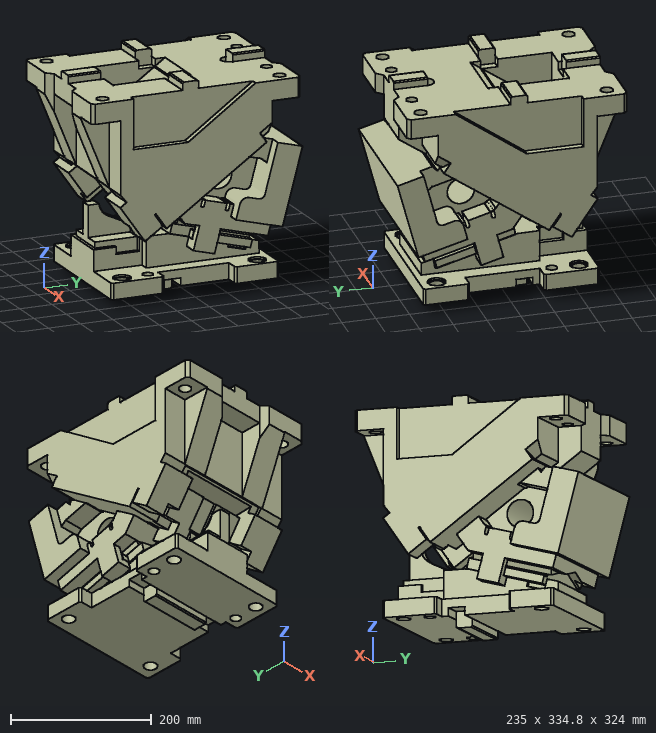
import cadquery as cq
import math


RAMP_ANGLE = 35.0
TRAVEL_ANGLE = 15.0
KEY_WIDTH = 25.0
KEY_HEIGHT = 24.0
KEY_CHAMFER = 2.0
SLOT_DEPTH = KEY_HEIGHT / 2

RAMP_Y = 115.8
RAMP_Z = 101.0
TRAVEL_Y = 303.76
TRAVEL_Z = 74.7


def ramp(along, above):
    """(y, z) of a point: distance up the ramp to the rear, and distance above the ramp."""
    angle = math.radians(RAMP_ANGLE)
    y = RAMP_Y + along * math.cos(angle) - above * math.sin(angle)
    z = RAMP_Z + along * math.sin(angle) + above * math.cos(angle)
    return (y, z)


def ramp_at(y, above):
    """(y, z) of the point at the given y on a line parallel to the ramp."""
    angle = math.radians(RAMP_ANGLE)
    along = (y - RAMP_Y + above * math.sin(angle)) / math.cos(angle)
    return ramp(along, above)


def travel(forward, up):
    """(y, z) of a point in the slide's tilted travel frame."""
    angle = math.radians(TRAVEL_ANGLE)
    y = TRAVEL_Y - forward * math.cos(angle) + up * math.sin(angle)
    z = TRAVEL_Z + forward * math.sin(angle) + up * math.cos(angle)
    return (y, z)


def prism(points, x_start, x_end):
    """Extrude a (y, z) outline from x_start to x_end."""
    return cq.Workplane("YZ", origin=(x_start, 0, 0)).polyline(points).close().extrude(x_end - x_start)


def wide(points, half_width):
    """Extrude a (y, z) outline symmetrically about the middle plane."""
    return prism(points, -half_width, half_width)


def both_sides(points, x_inner, x_outer):
    """Extrude a (y, z) outline on the left and on the right side."""
    return prism(points, x_inner, x_outer).union(prism(points, -x_outer, -x_inner))


def rectangle(frame, u_start, u_end, v_start, v_end):
    """Corners of a rectangle lying in a tilted frame."""
    return [frame(u_start, v_start), frame(u_end, v_start), frame(u_end, v_end), frame(u_start, v_end)]


def box(x_start, x_end, y_start, y_end, z_start, z_end):
    """Axis-aligned box between two corners."""
    size = (x_end - x_start, y_end - y_start, z_end - z_start)
    return cq.Workplane("XY").box(*size, centered=False).translate((x_start, y_start, z_start))


def inclined_section(points, frame, angle, start, length):
    """Extrude an (x, height) section toward the front, at an angle to the horizontal."""
    tilt = math.radians(angle)
    direction = (0, -math.cos(tilt), -math.sin(tilt))
    plane = cq.Plane(origin=(0, *frame(start, 0)), xDir=(1, 0, 0), normal=direction)
    return cq.Workplane(plane).polyline(points).close().extrude(length)


def ramp_section(points, start, end):
    """Extrude an (x, above) section along the ramp between two distances along it."""
    return inclined_section(points, ramp, RAMP_ANGLE, end, end - start)


def travel_section(points, start, end):
    """Extrude an (x, up) section along the travel direction between two forward distances."""
    return inclined_section(points, travel, -TRAVEL_ANGLE, start, end - start)


HOLDER_LENGTH = 325.0
HOLDER_HALF = 235.0 / 2
PLATE_TOP = 300.0
PLATE_BOTTOM = 270.0
PLATE_CHAMFER = 5.0
NOTCH_OUTER_HALF = 47.5
NOTCH_DEPTH = 10.0
NOTCH_INNER_HALF = NOTCH_OUTER_HALF - NOTCH_DEPTH

BODY_FRONT = 44.6
BODY_REAR = 280.0
FRONT_FOOT_Z = 159.0
RIM_ALONG = 190.0
RIM_LOW = 3.0
RIM_HIGH = 18.0
RIM_BEVEL = RIM_HIGH - RIM_LOW
RIM_END_ALONG = 250.0
RIB_DROP = -6.0

PRONG_FRONT = -36.0
PRONG_NECK = -24.0
PRONG_LOW = 7.0
PRONG_HIGH = 74.0
PRONG_NECK_TOP = 88.0
PRONG_INNER = 63.0
PRONG_RELIEF_HALF = 76.0
PRONG_RELIEF_DEPTH = 5.0
PRONG_NOTCH_HALF = 83.5
PRONG_NOTCH_TOP = 25.0
KERF_WIDTH = 2.0
KERF_TOP = 28.6

GUSSET_OUTER = 78.0
GUSSET_EDGE_Z = PLATE_BOTTOM - 2

NOSE_FRONT = -10.0
NOSE_REAR = 8.5
NOSE_HALF = 60.0
NOSE_LOW = 13.0
NOSE_HIGH = 63.0
TONGUE_HALF = 33.0
TONGUE_LOW = -20.0
SLIDE_NOSE = 31.0
GROOVE_DEPTH = 5.0
GROOVE_HALF = 12.5
ROLLER_RADIUS = 19.5
ROLLER_HALF = 10.0
ROLLER_CENTRE = ramp(2.4, -5.0)

SIDE_RECESS_DEPTH = 10.0
SIDE_RECESS_FRONT = 65.0
SIDE_RECESS_REAR = 254.0
SIDE_RECESS_BEND = 149.0
SIDE_RECESS_Z = 225.0
POCKET_HALF = 45.0
POCKET_FRONT = 65.0
POCKET_BEND = 113.5
POCKET_REAR = 185.5
POCKET_FLOOR = PLATE_TOP - (POCKET_REAR - POCKET_BEND) * math.tan(math.radians(RAMP_ANGLE))

BOLT_X = 97.5
BOLT_INSET = 25.0
BOLT_DIAMETER = 18.0
DOWEL_X = 52.2
DOWEL_DIAMETER = 16.0
HOLDER_KEY_LENGTH = 50.0
HOLDER_KEY_TOP = PLATE_TOP + SLOT_DEPTH
CROSS_SLOT_Y = 157.5


def end_notch(y_edge, inward):
    """Trapezoidal notch through the full height at one end of the plate."""
    outline = [
        (-NOTCH_OUTER_HALF, y_edge),
        (NOTCH_OUTER_HALF, y_edge),
        (NOTCH_INNER_HALF, y_edge + inward * NOTCH_DEPTH),
        (-NOTCH_INNER_HALF, y_edge + inward * NOTCH_DEPTH),
    ]
    return cq.Workplane("XY").polyline(outline).close().extrude(PLATE_TOP)


def top_key(x_start, x_end, y_start, y_end, long_edges):
    """Locating key sunk to half its height, with its two long top edges chamfered."""
    key = box(x_start, x_end, y_start, y_end, PLATE_TOP - SLOT_DEPTH, HOLDER_KEY_TOP)
    return key.faces(">Z").edges(long_edges).chamfer(KEY_CHAMFER)


def bevel_rear_rim(body):
    """Bevel both lower outer edges of the body behind the ramp at 45 degrees."""
    for side in (-1, 1):
        section = [
            (side * (HOLDER_HALF - RIM_BEVEL), RIM_LOW),
            (side * HOLDER_HALF, RIM_LOW),
            (side * HOLDER_HALF, RIM_HIGH),
        ]
        body = body.cut(ramp_section(section, RIM_ALONG, RIM_END_ALONG))
    return body


def holder_blank():
    """Plate, solid body, rear rib and front gussets, with both end notches cut."""
    plate = box(-HOLDER_HALF, HOLDER_HALF, 0, HOLDER_LENGTH, PLATE_BOTTOM, PLATE_TOP)
    plate = plate.edges("|Z").chamfer(PLATE_CHAMFER)
    side_outline = [
        (BODY_FRONT, PLATE_BOTTOM),
        (BODY_FRONT, FRONT_FOOT_Z),
        ramp(PRONG_NECK, PRONG_HIGH),
        ramp(PRONG_FRONT, PRONG_HIGH),
        ramp(PRONG_FRONT, PRONG_LOW),
        ramp(0, PRONG_LOW),
        ramp(0, 0),
        ramp(RIM_ALONG, 0),
        ramp(RIM_ALONG, RIM_LOW),
        ramp_at(BODY_REAR, RIM_LOW),
        (BODY_REAR, PLATE_BOTTOM),
    ]
    rib_rear = HOLDER_LENGTH - NOTCH_DEPTH
    rib_outline = [
        (rib_rear, PLATE_BOTTOM),
        ramp_at(rib_rear, RIB_DROP),
        ramp(RIM_ALONG, RIB_DROP),
        ramp(RIM_ALONG, RIM_HIGH),
        (BODY_REAR, PLATE_BOTTOM),
    ]
    gusset_outline = [
        (BODY_FRONT, PLATE_BOTTOM),
        (0, PLATE_BOTTOM),
        (0, GUSSET_EDGE_Z),
        (BODY_FRONT, FRONT_FOOT_Z),
    ]
    blank = plate.union(wide(side_outline, HOLDER_HALF))
    blank = bevel_rear_rim(blank)
    blank = blank.union(wide(rib_outline, NOTCH_INNER_HALF))
    blank = blank.union(both_sides(gusset_outline, NOTCH_INNER_HALF, GUSSET_OUTER))
    return blank.cut(end_notch(0, 1)).cut(end_notch(HOLDER_LENGTH, -1))


def cut_prongs(body):
    """Open the front between the prongs, step their inner corners and cut the kerfs behind them."""
    gap_outline = [
        (0, FRONT_FOOT_Z),
        (BODY_FRONT, FRONT_FOOT_Z),
        ramp(NOSE_REAR, NOSE_HIGH),
        ramp(NOSE_REAR, TONGUE_LOW),
        (0, 0),
    ]
    body = body.cut(wide(gap_outline, PRONG_INNER))
    step_outline = rectangle(ramp, PRONG_FRONT, 0, PRONG_LOW, PRONG_NOTCH_TOP)
    body = body.cut(wide(step_outline, PRONG_NOTCH_HALF))
    relief_rear = PRONG_NECK + PRONG_RELIEF_DEPTH
    relief_outline = rectangle(ramp, PRONG_FRONT, relief_rear, PRONG_HIGH, PRONG_NECK_TOP)
    body = body.cut(wide(relief_outline, PRONG_RELIEF_HALF))
    kerf_outline = rectangle(ramp, -KERF_WIDTH, 0, PRONG_LOW, KERF_TOP)
    return body.cut(wide(kerf_outline, HOLDER_HALF))


def holder_nose():
    """T-shaped nose between the prongs, with its front groove and roller."""
    head = wide(rectangle(ramp, NOSE_FRONT, NOSE_REAR, NOSE_LOW, NOSE_HIGH), NOSE_HALF)
    tongue = wide(rectangle(ramp, NOSE_FRONT, NOSE_REAR, TONGUE_LOW, NOSE_LOW), TONGUE_HALF)
    heel = wide(rectangle(ramp, NOSE_REAR, SLIDE_NOSE, TONGUE_LOW, 0), TONGUE_HALF)
    groove_outline = rectangle(ramp, NOSE_FRONT, NOSE_FRONT + GROOVE_DEPTH, NOSE_LOW, NOSE_HIGH)
    groove = wide(groove_outline, GROOVE_HALF)
    roller = cq.Workplane("YZ").center(*ROLLER_CENTRE).circle(ROLLER_RADIUS)
    roller = roller.extrude(ROLLER_HALF, both=True)
    return head.union(tongue).union(heel).cut(groove).union(roller)


def cut_holder_pockets(body):
    recess_outline = [
        (SIDE_RECESS_REAR, PLATE_TOP),
        (SIDE_RECESS_BEND, SIDE_RECESS_Z),
        (SIDE_RECESS_FRONT, SIDE_RECESS_Z),
        (SIDE_RECESS_FRONT, PLATE_TOP),
    ]
    pocket_outline = [
        (POCKET_REAR, PLATE_TOP),
        (POCKET_BEND, POCKET_FLOOR),
        (POCKET_FRONT, POCKET_FLOOR),
        (POCKET_FRONT, PLATE_TOP),
    ]
    body = body.cut(both_sides(recess_outline, HOLDER_HALF - SIDE_RECESS_DEPTH, HOLDER_HALF))
    return body.cut(wide(pocket_outline, POCKET_HALF))


def drill_holder(body):
    rear_y = HOLDER_LENGTH - BOLT_INSET
    bolts = [(side * BOLT_X, y) for side in (-1, 1) for y in (BOLT_INSET, rear_y)]
    dowels = [(side * DOWEL_X, rear_y) for side in (-1, 1)]
    for points, diameter in ((bolts, BOLT_DIAMETER), (dowels, DOWEL_DIAMETER)):
        holes = cq.Workplane("XY", origin=(0, 0, PLATE_BOTTOM)).pushPoints(points)
        body = body.cut(holes.circle(diameter / 2).extrude(PLATE_TOP - PLATE_BOTTOM))
    return body


def fit_holder_keys(body):
    """Cut the four key slots in the plate and set a key in each."""
    half = KEY_WIDTH / 2
    slot_floor = PLATE_TOP - SLOT_DEPTH
    front_end = NOTCH_DEPTH
    rear_end = HOLDER_LENGTH - NOTCH_DEPTH
    rear_key_start = rear_end - HOLDER_KEY_LENGTH
    side_end = HOLDER_HALF - SIDE_RECESS_DEPTH
    cross_front = CROSS_SLOT_Y - half
    cross_rear = CROSS_SLOT_Y + half

    body = body.cut(box(-half, half, front_end, POCKET_FRONT, slot_floor, PLATE_TOP))
    body = body.cut(box(-half, half, rear_key_start, rear_end, slot_floor, PLATE_TOP))
    slot_end = cq.Workplane("XY", origin=(0, rear_key_start, slot_floor)).circle(half).extrude(SLOT_DEPTH)
    body = body.cut(slot_end)
    body = body.cut(box(-side_end, side_end, cross_front, cross_rear, slot_floor, PLATE_TOP))

    body = body.union(top_key(-half, half, front_end, front_end + HOLDER_KEY_LENGTH, "|Y"))
    body = body.union(top_key(-half, half, rear_key_start, rear_end, "|Y"))
    for x_start in (-side_end, side_end - HOLDER_KEY_LENGTH):
        body = body.union(top_key(x_start, x_start + HOLDER_KEY_LENGTH, cross_front, cross_rear, "|X"))
    return body


holder = cut_prongs(holder_blank()).union(holder_nose())
holder = fit_holder_keys(drill_holder(cut_holder_pockets(holder)))

BLOCK_HALF = 100.0
BLOCK_HEIGHT = 120.0
BLOCK_THICKNESS = 40.0
FOOT_LENGTH = 75.0
FOOT_HEIGHT = 35.0
FOOT_OUTER_RADIUS = 12.0
FOOT_INNER_RADIUS = 8.0
FLANK_HALF = 82.0
FLANK_CLEARANCE = -2.0
FLANK_REAR = 10.0
SLIDE_UNDERSIDE = -20.0
UNDERSIDE_FRONT = 144.0
CREST_FORWARD = 58.6
CREST_NOTCH_ALONG = 182.5
CREST_NOTCH_DEPTH = -9.4
WEB_HALF = 50.0
POCKET_FLOOR_UP = 18.0
POCKET_ROOF_UP = 89.5
POCKET_ROOF_END = 91.0
POCKET_ROOF_START = 50.0
POCKET_CHAMFER = 4.5
POCKET_END_ALONG = 72.0
POCKET_END_DROP = -17.0
POCKET_FLOOR_END = 120.0
HOLE_Y = 226.8
HOLE_Z = 147.0
HOLE_DIAMETER = 40.0
RELIEFS = (83.5, 123.0)
RELIEF_WIDTH = 5.0
RELIEF_BOTTOM = 7.5

VEE_HALF = 57.0
VEE_EDGE_UP = -28.0
VEE_SLOPE = 16.3
VEE_RIDGE_UP = VEE_EDGE_UP + VEE_HALF * math.tan(math.radians(VEE_SLOPE))
KEEL_HALF = 60.0
KEEL_REAR = 21.0
SADDLE_REAR = 26.0
SADDLE_FRONT = 150.0
SADDLE_BOTTOM = -43.4

HOOK_REAR = 86.0
HOOK_FRONT = 120.0
HOOK_BOTTOM = -57.0
HOOK_ARM_INNER = 70.0
HOOK_FOOT_INNER = 58.0


def tool_block():
    """L-shaped block at the rear that carries the tool."""
    outline = [
        travel(0, 0),
        travel(FOOT_LENGTH, 0),
        travel(FOOT_LENGTH, FOOT_HEIGHT),
        travel(BLOCK_THICKNESS, FOOT_HEIGHT),
        travel(BLOCK_THICKNESS, BLOCK_HEIGHT),
        travel(0, BLOCK_HEIGHT),
    ]
    block = wide(outline, BLOCK_HALF)
    corners = ((FOOT_LENGTH, FOOT_OUTER_RADIUS), (BLOCK_THICKNESS, FOOT_INNER_RADIUS))
    for forward, radius in corners:
        corner = (0, *travel(forward, FOOT_HEIGHT))
        block = block.edges(cq.selectors.NearestToPointSelector(corner)).fillet(radius)
    return block


def slide_outline(top):
    """Side outline of the slide body, its upper face at the given height from the ramp."""
    return [
        travel(FLANK_REAR, 0),
        travel(FLANK_REAR, SLIDE_UNDERSIDE),
        travel(UNDERSIDE_FRONT, SLIDE_UNDERSIDE),
        ramp(SLIDE_NOSE, top),
        ramp(CREST_NOTCH_ALONG, top),
        ramp(CREST_NOTCH_ALONG, CREST_NOTCH_DEPTH),
        travel(CREST_FORWARD, BLOCK_HEIGHT),
        travel(BLOCK_THICKNESS, BLOCK_HEIGHT),
        travel(BLOCK_THICKNESS, 0),
    ]


def slide_flanks():
    """Full-width body with the side pockets that leave only the middle web."""
    flanks = wide(slide_outline(FLANK_CLEARANCE), FLANK_HALF)
    pocket_outline = [
        travel(BLOCK_THICKNESS, POCKET_FLOOR_UP),
        travel(BLOCK_THICKNESS, POCKET_ROOF_UP - POCKET_CHAMFER),
        travel(POCKET_ROOF_START, POCKET_ROOF_UP),
        travel(POCKET_ROOF_END, POCKET_ROOF_UP),
        ramp(POCKET_END_ALONG, 0),
        ramp(POCKET_END_ALONG, POCKET_END_DROP),
        travel(POCKET_FLOOR_END, POCKET_FLOOR_UP),
    ]
    flanks = flanks.cut(both_sides(pocket_outline, WEB_HALF, FLANK_HALF))
    radius = RELIEF_WIDTH / 2
    for middle in RELIEFS:
        sides = rectangle(travel, middle - radius, middle + radius, RELIEF_BOTTOM + radius, POCKET_FLOOR_UP)
        flanks = flanks.cut(both_sides(sides, WEB_HALF, FLANK_HALF))
        for x_start in (-FLANK_HALF, WEB_HALF):
            end = cq.Workplane("YZ", origin=(x_start, 0, 0)).center(*travel(middle, RELIEF_BOTTOM + radius))
            flanks = flanks.cut(end.circle(radius).extrude(FLANK_HALF - WEB_HALF))
    return flanks


def slide_keel():
    """Tapered keel under the slide that rides on the V saddle."""
    section = [
        (-KEEL_HALF, 0),
        (-KEEL_HALF, SLIDE_UNDERSIDE),
        (-VEE_HALF, VEE_EDGE_UP),
        (0, VEE_RIDGE_UP),
        (VEE_HALF, VEE_EDGE_UP),
        (KEEL_HALF, SLIDE_UNDERSIDE),
        (KEEL_HALF, 0),
    ]
    return travel_section(section, KEEL_REAR, UNDERSIDE_FRONT)


def vee_groove():
    """Space over the V saddle that is cleared from the slide body."""
    section = [(-VEE_HALF, VEE_EDGE_UP), (0, VEE_RIDGE_UP), (VEE_HALF, VEE_EDGE_UP)]
    return travel_section(section, 0, SADDLE_FRONT)


def slide_hooks():
    """L-shaped hooks reaching under the side flanges of the saddle."""
    arm = rectangle(travel, HOOK_REAR, HOOK_FRONT, HOOK_BOTTOM, SLIDE_UNDERSIDE)
    foot = rectangle(travel, HOOK_REAR, HOOK_FRONT, HOOK_BOTTOM, SADDLE_BOTTOM)
    hooks = both_sides(arm, HOOK_ARM_INNER, FLANK_HALF)
    return hooks.union(both_sides(foot, HOOK_FOOT_INNER, FLANK_HALF))


slide = slide_flanks().union(wide(slide_outline(0), WEB_HALF)).union(tool_block())
slide = slide.union(slide_keel()).cut(vee_groove()).union(slide_hooks())
cross_hole = cq.Workplane("YZ").center(HOLE_Y, HOLE_Z).circle(HOLE_DIAMETER / 2)
slide = slide.cut(cross_hole.extrude(FLANK_HALF, both=True))

BASE_FRONT = 37.0
BASE_REAR = 297.0
BASE_HALF = 102.5
BASE_THICKNESS = 25.0
BASE_CHAMFER = 3.0
WAIST_FRONT = 119.0
WAIST_REAR = 229.0
WAIST_HALF = 80.0
SADDLE_BLOCK_HALF = 55.0
SADDLE_BLOCK_FRONT = 112.0
SADDLE_BLOCK_REAR = 287.0
SADDLE_BLOCK_UP = -34.5
SADDLE_BLOCK_CREST = 8.4
SHELF_Z = 72.0
FLANGE_HALF = 68.7
FLANGE_TOP = -31.5
RECESS_FRONT = 54.0
RECESS_BOTTOM = -50.2
RECESS_DEPTH = 5.0

PEDESTAL_HALF = 40.0
PEDESTAL_Z = 57.0
SEAT_Z = 46.0
SEAT_FRONT = 72.0
SHOE_HALF = 33.0
SHOE_FRONT = 42.0
SHOE_REAR = 107.5
SHOE_Z = 66.0
FIN_HALF = 9.0
FIN_Z = 114.0
FIN_TOP_REAR = 59.0
FIN_ARC_MIDDLE = (65.5, 100.5)
FIN_ARC_END = (75.0, 93.4)
FIN_TOE = (103.6, 80.0)
FIN_TOE_Z = 76.5

BASE_HOLE_X = BASE_HALF - 20.0
BASE_BOLT_INSET = 25.0
BASE_BOLT_YS = (BASE_FRONT + BASE_BOLT_INSET, BASE_REAR - BASE_BOLT_INSET)
BASE_BOLT_DIAMETER = 20.0
BASE_BORE_DIAMETER = 26.0
BASE_BORE_DEPTH = 3.0
BASE_DOWEL_Y = 102.0
BASE_DOWEL_DIAMETER = 16.0
BASE_KEY_Y = 141.5
BASE_KEY_HALF_LENGTH = 50.0


def base_plate():
    """Two wide pads with chamfered corners, joined by a narrower waist."""
    plate = box(-WAIST_HALF, WAIST_HALF, BASE_FRONT, BASE_REAR, 0, BASE_THICKNESS)
    for y_start, y_end in ((BASE_FRONT, WAIST_FRONT), (WAIST_REAR, BASE_REAR)):
        pad = box(-BASE_HALF, BASE_HALF, y_start, y_end, 0, BASE_THICKNESS)
        plate = plate.union(pad.edges("|Z").chamfer(BASE_CHAMFER))
    return plate


def saddle():
    """Sloped block with the V saddle and its side flanges on top, and shallow recesses below them."""
    block_outline = [
        (SADDLE_BLOCK_REAR, BASE_THICKNESS),
        travel(SADDLE_BLOCK_CREST, SADDLE_BLOCK_UP),
        travel(SADDLE_FRONT, SADDLE_BLOCK_UP),
        travel(SADDLE_FRONT, SADDLE_BOTTOM),
        (SADDLE_BLOCK_FRONT, SHELF_Z),
        (SADDLE_BLOCK_FRONT, BASE_THICKNESS),
    ]
    vee_section = [
        (-VEE_HALF, SADDLE_BOTTOM),
        (-VEE_HALF, VEE_EDGE_UP),
        (0, VEE_RIDGE_UP),
        (VEE_HALF, VEE_EDGE_UP),
        (VEE_HALF, SADDLE_BOTTOM),
    ]
    flange_outline = rectangle(travel, SADDLE_REAR, HOOK_FRONT, SADDLE_BOTTOM, FLANGE_TOP)
    recess_outline = rectangle(travel, SADDLE_REAR, RECESS_FRONT, RECESS_BOTTOM, SADDLE_BOTTOM)
    body = wide(block_outline, SADDLE_BLOCK_HALF)
    body = body.cut(both_sides(recess_outline, SADDLE_BLOCK_HALF - RECESS_DEPTH, SADDLE_BLOCK_HALF))
    body = body.union(travel_section(vee_section, SADDLE_REAR, SADDLE_FRONT))
    return body.union(wide(flange_outline, FLANGE_HALF))


def stop():
    """Front pedestal with the shoe and upright fin that stand on it."""
    pedestal_outline = [
        (BASE_FRONT, BASE_THICKNESS),
        (BASE_FRONT, PEDESTAL_Z),
        (SEAT_FRONT, PEDESTAL_Z),
        (SEAT_FRONT, SEAT_Z),
        (SHOE_REAR, SEAT_Z),
        (SHOE_REAR, SHELF_Z),
        (SADDLE_BLOCK_FRONT, SHELF_Z),
        (SADDLE_BLOCK_FRONT, BASE_THICKNESS),
    ]
    body = wide(pedestal_outline, PEDESTAL_HALF)
    body = body.union(box(-SHOE_HALF, SHOE_HALF, SHOE_FRONT, SHOE_REAR, SEAT_Z, SHOE_Z))
    fin = cq.Workplane("YZ").moveTo(SHOE_FRONT, SHOE_Z).lineTo(SHOE_FRONT, FIN_Z).lineTo(FIN_TOP_REAR, FIN_Z)
    fin = fin.threePointArc(FIN_ARC_MIDDLE, FIN_ARC_END).lineTo(*FIN_TOE)
    fin = fin.lineTo(SHOE_REAR, FIN_TOE_Z).lineTo(SHOE_REAR, SHOE_Z).close()
    return body.union(fin.extrude(FIN_HALF, both=True))


def drill_base(body):
    for x in (-BASE_HOLE_X, BASE_HOLE_X):
        for y in BASE_BOLT_YS:
            centre = cq.Workplane("XY", origin=(x, y, 0))
            body = body.cut(centre.circle(BASE_BOLT_DIAMETER / 2).extrude(BASE_THICKNESS))
            bore = centre.workplane(offset=BASE_THICKNESS - BASE_BORE_DEPTH)
            body = body.cut(bore.circle(BASE_BORE_DIAMETER / 2).extrude(BASE_BORE_DEPTH))
        dowel = cq.Workplane("XY", origin=(x, BASE_DOWEL_Y, 0)).circle(BASE_DOWEL_DIAMETER / 2)
        body = body.cut(dowel.extrude(BASE_THICKNESS))
    return body


def fit_base_key(body):
    """Cross slot in the underside with a key sunk in it to half its height."""
    y_start = BASE_KEY_Y - KEY_WIDTH / 2
    y_end = BASE_KEY_Y + KEY_WIDTH / 2
    body = body.cut(box(-BASE_HALF, BASE_HALF, y_start, y_end, 0, SLOT_DEPTH))
    key = box(-BASE_KEY_HALF_LENGTH, BASE_KEY_HALF_LENGTH, y_start, y_end, -SLOT_DEPTH, SLOT_DEPTH)
    return body.union(key.faces("<Z").edges("|X").chamfer(KEY_CHAMFER))


base = fit_base_key(drill_base(base_plate().union(saddle()).union(stop())))

result = cq.Compound.makeCompound([holder.solids().val(), slide.solids().val(), base.solids().val()])